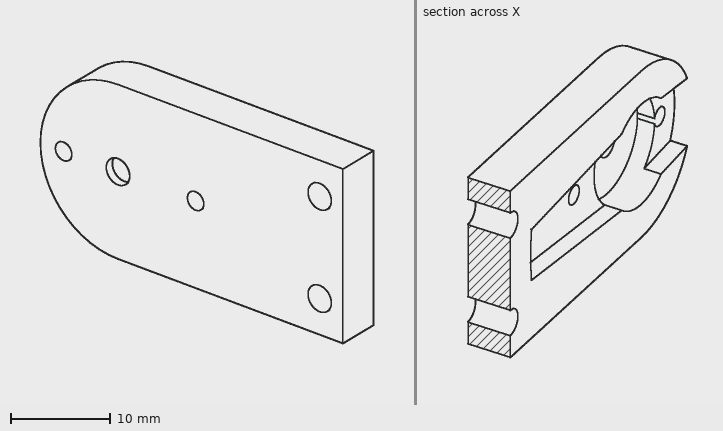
import cadquery as cq
import math

length = 39.0
height = 20.0
end_radius = height / 2
thickness = 5.0

large_hole_diameter = 3.0
small_hole_diameter = 2.1
pivot_x = end_radius
small_hole_positions = (3.0, 20.0)
corner_hole_x = length - 3.0
corner_hole_offset = 5.85

hub_radius = 6.0
hub_floor = 1.0
arm_depth = 2.0
arm_root_half_width = 4.9
mouth_half_width = 4.05
arm_tip_half_width = 3.05
arm_reach = 22.0


def cylinder(x, z, radius, y_start=0.0):
    """Cylinder along Y, running from y_start to the rear face."""
    return (
        cq.Workplane("XZ", origin=(x, y_start, z))
        .circle(radius)
        .extrude(y_start - thickness)
    )


def make_plate():
    return (
        cq.Workplane("XZ")
        .moveTo(end_radius, end_radius)
        .lineTo(length, end_radius)
        .lineTo(length, -end_radius)
        .lineTo(end_radius, -end_radius)
        .threePointArc((0, 0), (end_radius, end_radius))
        .close()
        .extrude(-thickness)
    )


def make_recess():
    mouth_reach = math.sqrt(end_radius**2 - mouth_half_width**2)
    taper = (arm_root_half_width - mouth_half_width) / mouth_reach
    open_end_half_width = arm_root_half_width - taper * pivot_x
    tip_x = pivot_x + math.sqrt(arm_reach**2 - arm_tip_half_width**2)
    arms = (
        cq.Workplane("XZ", origin=(0, thickness - arm_depth, 0))
        .moveTo(0, open_end_half_width)
        .lineTo(pivot_x, arm_root_half_width)
        .lineTo(tip_x, arm_tip_half_width)
        .threePointArc((pivot_x + arm_reach, 0), (tip_x, -arm_tip_half_width))
        .lineTo(pivot_x, -arm_root_half_width)
        .lineTo(0, -open_end_half_width)
        .close()
        .extrude(-arm_depth)
    )
    return arms.union(cylinder(pivot_x, 0, hub_radius, hub_floor))


def drill_holes(body):
    body = body.cut(cylinder(pivot_x, 0, large_hole_diameter / 2))
    for x in small_hole_positions:
        body = body.cut(cylinder(x, 0, small_hole_diameter / 2))
    for side in (-1, 1):
        z = side * corner_hole_offset
        body = body.cut(cylinder(corner_hole_x, z, large_hole_diameter / 2))
    return body


result = drill_holes(make_plate().cut(make_recess()))